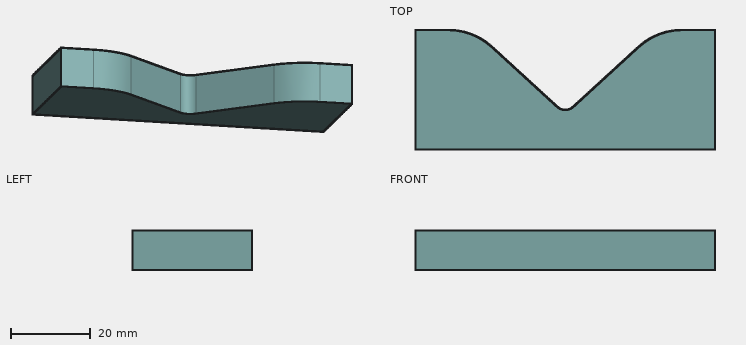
import cadquery as cq
import math

length = 75.0
width = 30.0
thickness = 10.0

notch_depth = 20.0
flank_angle = math.radians(42.5)
root_radius = 3.0
shoulder_radius = 16.0

corner_margin = 1.0


def sharp_outline():
    """Block outline with a V notch, before its corners are rounded."""
    root_lift = root_radius * (1 / math.cos(flank_angle) - 1)
    apex_depth = notch_depth + root_lift
    mouth_half_width = apex_depth / math.tan(flank_angle)
    half_length = length / 2
    return [
        (-half_length, 0),
        (half_length, 0),
        (half_length, width),
        (mouth_half_width, width),
        (0, width - apex_depth),
        (-mouth_half_width, width),
        (-half_length, width),
    ]


def notched_block():
    """Extrude the outline and round the notch root and both shoulders."""
    block = cq.Workplane("XY").polyline(sharp_outline()).close().extrude(thickness)
    upright_edges = block.edges("|Z")
    corner_limit = length / 2 - corner_margin
    notch_edges = upright_edges.filter(lambda edge: abs(edge.Center().x) < corner_limit)
    root = notch_edges.edges("<Y")
    shoulders = notch_edges.edges(">Y")
    block = block.newObject(shoulders.vals()).fillet(shoulder_radius)
    return block.newObject(root.vals()).fillet(root_radius)


result = notched_block()